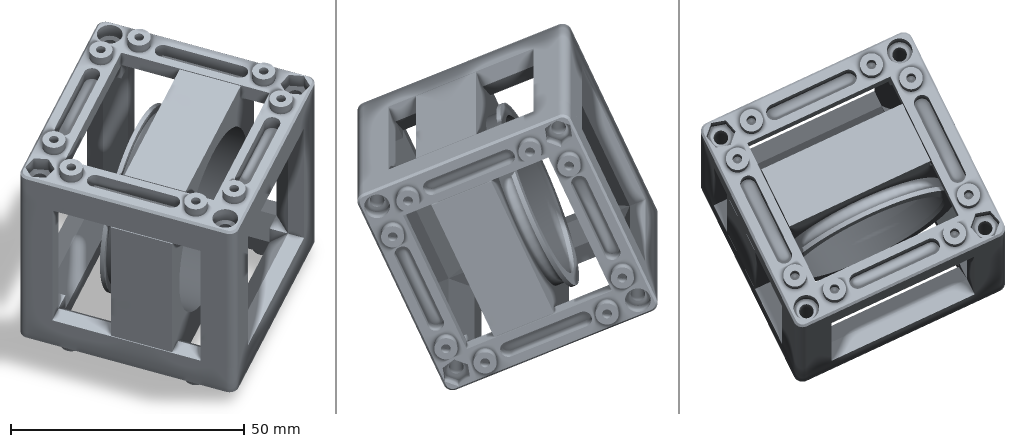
import cadquery as cq
import math

WIDTH_X = 49.8
WIDTH_Y = 50.0
HEIGHT = 50.0
OVERALL_HEIGHT = 54.5
WINDOW = 34.0
CAVITY_CHAMFER = 4.2
CORNER_RADIUS = 2.0
EDGE_CHAMFER = 0.5

PEG_DIAMETER = 4.95
PEG_HEIGHT = (OVERALL_HEIGHT - HEIGHT) / 2
PEG_HOLE_DIAMETER = 2.05
FACE_ROW = 20.65
PEG_OFFSET = 14.3
SLOT_LENGTH = 21.15
SLOT_WIDTH = 3.55
SLOT_DEPTH = 3.3
SCREW_OFFSET = 21.25
SCREW_DIAMETER = 3.1
HEAD_DIAMETER = 5.5
HEAD_DEPTH = 3.3
NUT_FLATS = 5.5
NUT_DEPTH = 3.3

INSERT_FRONT = -3.55
INSERT_THICKNESS = 14.0
INSERT_CLEARANCE = 0.45
BACK_BORE_DIAMETER = 41.2

RING_FRONT = -7.6
RING_BACK = -2.0
FLANGE_DIAMETER = 42.2
FLANGE_THICKNESS = 1.0
SLEEVE_DIAMETER = 39.2
LIP_BORE_DIAMETER = 36.45
SLEEVE_BORE_DIAMETER = 37.45

half_window = WINDOW / 2
half_height = HEIGHT / 2
flange_back = RING_FRONT + FLANGE_THICKNESS


def cross_prism(plane, arm_length, arm_width, depth):
    """Plus-shaped prism whose four inner corners are bevelled."""
    arm = arm_width / 2
    bevel = arm + CAVITY_CHAMFER
    octagon = [
        (bevel, -arm), (bevel, arm), (arm, bevel), (-arm, bevel),
        (-bevel, arm), (-bevel, -arm), (-arm, -bevel), (arm, -bevel),
    ]
    core = cq.Workplane(plane).polyline(octagon).close().extrude(depth / 2, both=True)
    across = cq.Workplane(plane).rect(arm_length, arm_width).extrude(depth / 2, both=True)
    along = cq.Workplane(plane).rect(arm_width, arm_length).extrude(depth / 2, both=True)
    return core.union(across).union(along)


def make_cavity():
    """Square windows through all six faces, bevelled along the frame bars."""
    reach = 2 * WIDTH_Y
    cavity = cross_prism("XY", reach, WINDOW, WINDOW)
    for plane in ("YZ", "XZ"):
        cavity = cavity.union(cross_prism(plane, reach, WINDOW, WINDOW))
    return cavity


def make_lid_region():
    """Space taken by the upper half: the top frame and two diagonal columns."""
    reach = WIDTH_Y
    region = cq.Workplane("XY").workplane(offset=half_window).rect(reach, reach).extrude(reach)
    for side in (-1, 1):
        column = (
            cq.Workplane("XY").workplane(offset=-half_window)
            .center(side * reach / 2, -side * reach / 2).rect(reach, reach).extrude(WINDOW)
        )
        region = region.union(column)
    return region


def add_pegs(half):
    """Eight hollow pegs, two along each side of the outer face."""
    spots = []
    for a in (-1, 1):
        for b in (-1, 1):
            spots.append((a * PEG_OFFSET, b * FACE_ROW))
            spots.append((a * FACE_ROW, b * PEG_OFFSET))
    face = cq.Workplane("XY").workplane(offset=half_height)
    peg_top = cq.Workplane("XY").workplane(offset=OVERALL_HEIGHT / 2)
    half = half.union(face.pushPoints(spots).circle(PEG_DIAMETER / 2).extrude(PEG_HEIGHT))
    return half.cut(peg_top.pushPoints(spots).circle(PEG_HOLE_DIAMETER / 2).extrude(-PEG_HEIGHT))


def cut_slots(half):
    """One blind slot in the middle of each side of the outer face."""
    for side in (-1, 1):
        row = side * FACE_ROW
        face = cq.Workplane("XY").workplane(offset=half_height)
        half = half.cut(face.center(0, row).slot2D(SLOT_LENGTH, SLOT_WIDTH).extrude(-SLOT_DEPTH))
        face = cq.Workplane("XY").workplane(offset=half_height)
        half = half.cut(face.center(row, 0).slot2D(SLOT_LENGTH, SLOT_WIDTH, 90).extrude(-SLOT_DEPTH))
    return half


def cut_screw_holes(half):
    """Corner holes: screw heads above the own columns, nuts at the other corners."""
    nut_corner_diameter = NUT_FLATS / math.cos(math.pi / 6)
    for side in (-1, 1):
        here = side * SCREW_OFFSET
        face = cq.Workplane("XY").workplane(offset=half_height)
        holes = face.pushPoints([(here, here), (here, -here)])
        half = half.cut(holes.circle(SCREW_DIAMETER / 2).extrude(-HEIGHT))
        heads = cq.Workplane("XY").workplane(offset=half_height).center(here, -here)
        half = half.cut(heads.circle(HEAD_DIAMETER / 2).extrude(-HEAD_DEPTH))
        nut = (
            cq.Workplane("XY").polygon(6, nut_corner_diameter).extrude(-NUT_DEPTH)
            .rotate((0, 0, 0), (0, 0, 1), 15).translate((here, here, half_height))
        )
        half = half.cut(nut)
    return half


def make_lid():
    shell = (
        cq.Workplane("XY").box(WIDTH_X, WIDTH_Y, HEIGHT)
        .edges("|Z").fillet(CORNER_RADIUS)
        .faces("<Z or >Z").chamfer(EDGE_CHAMFER)
    )
    lid = shell.cut(make_cavity()).intersect(make_lid_region())
    lid = add_pegs(lid)
    lid = cut_slots(lid)
    return cut_screw_holes(lid)


def make_insert():
    """Cross-shaped block with a sleeve seat in front and a wider bore behind it."""
    middle = INSERT_FRONT + INSERT_THICKNESS / 2
    block = cross_prism("YZ", WIDTH_Y, WINDOW - INSERT_CLEARANCE, INSERT_THICKNESS)
    block = block.translate((middle, 0, 0))
    front = cq.Workplane("YZ").workplane(offset=INSERT_FRONT)
    block = block.cut(front.circle(SLEEVE_DIAMETER / 2).extrude(INSERT_THICKNESS))
    seat_end = cq.Workplane("YZ").workplane(offset=RING_BACK)
    return block.cut(seat_end.circle(BACK_BORE_DIAMETER / 2).extrude(INSERT_THICKNESS))


def make_ring():
    """Flange with a narrow lip, and a sleeve behind it."""
    profile = [
        (RING_FRONT, LIP_BORE_DIAMETER / 2),
        (RING_FRONT, FLANGE_DIAMETER / 2),
        (flange_back, FLANGE_DIAMETER / 2),
        (flange_back, SLEEVE_DIAMETER / 2),
        (RING_BACK, SLEEVE_DIAMETER / 2),
        (RING_BACK, SLEEVE_BORE_DIAMETER / 2),
        (flange_back, SLEEVE_BORE_DIAMETER / 2),
        (flange_back, LIP_BORE_DIAMETER / 2),
    ]
    return cq.Workplane("XY").polyline(profile).close().revolve(360, (0, 0, 0), (1, 0, 0))


lid = make_lid()
base = lid.rotate((0, 0, 0), (1, 0, 0), 180)
insert = make_insert()
ring = make_ring()
result = cq.Compound.makeCompound([base.val(), lid.val(), insert.val(), ring.val()])